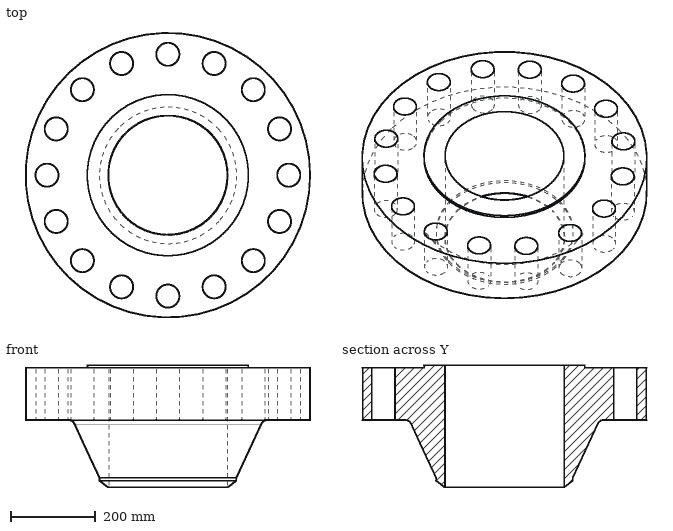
import cadquery as cq
import math


total_height = 288.93
flange_diameter = 673.1
flange_thickness = 123.8
raised_face_diameter = 381.0
raised_face_height = 6.35
hub_base_diameter = 450.85
hub_root_fillet = 16.0
pipe_diameter = 323.85
pipe_wall = 21.44
bevel_angle = 37.5
bevel_land = 1.6
neck_straight_end = 22.0
bolt_hole_count = 16
bolt_hole_diameter = 53.98
bolt_circle_diameter = 571.5

bore_radius = pipe_diameter / 2 - pipe_wall
pipe_radius = pipe_diameter / 2
hub_base_radius = hub_base_diameter / 2
flange_radius = flange_diameter / 2
raised_face_radius = raised_face_diameter / 2
flange_top = total_height - raised_face_height
flange_bottom = flange_top - flange_thickness
land_radius = bore_radius + bevel_land
bevel_height = (pipe_radius - land_radius) * math.tan(math.radians(bevel_angle))

cone_slope = math.atan2(flange_bottom - neck_straight_end, hub_base_radius - pipe_radius)
fillet_tangent_length = hub_root_fillet * math.tan(cone_slope / 2)
fillet_start_radius = hub_base_radius - fillet_tangent_length * math.cos(cone_slope)
fillet_start_z = flange_bottom - fillet_tangent_length * math.sin(cone_slope)
fillet_end_radius = hub_base_radius + fillet_tangent_length


def flange_body():
    """Revolve the half section, with the hub blended into the flange."""
    section = (
        cq.Workplane("XZ")
        .moveTo(bore_radius, 0)
        .lineTo(land_radius, 0)
        .lineTo(pipe_radius, bevel_height)
        .lineTo(pipe_radius, neck_straight_end)
        .lineTo(fillet_start_radius, fillet_start_z)
        .tangentArcPoint((fillet_end_radius, flange_bottom), relative=False)
        .lineTo(flange_radius, flange_bottom)
        .lineTo(flange_radius, flange_top)
        .lineTo(raised_face_radius, flange_top)
        .lineTo(raised_face_radius, total_height)
        .lineTo(bore_radius, total_height)
        .close()
    )
    return section.revolve(360, (0, 0, 0), (0, 1, 0))


def bolt_holes():
    """Ring of through holes, the first one on the +X axis."""
    return (
        cq.Workplane("XY", origin=(0, 0, flange_bottom))
        .polarArray(bolt_circle_diameter / 2, 0, 360, bolt_hole_count)
        .circle(bolt_hole_diameter / 2)
        .extrude(flange_thickness)
    )


result = flange_body().cut(bolt_holes())